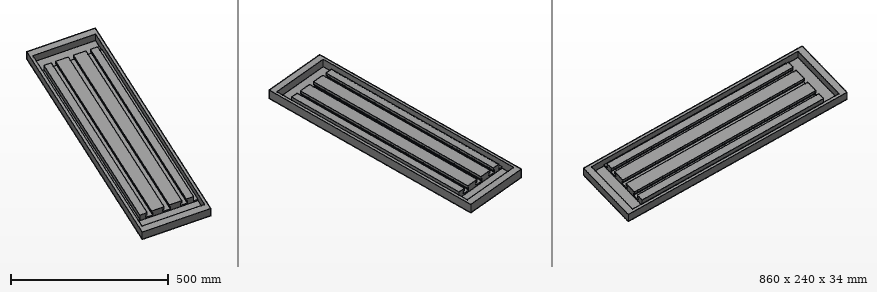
import cadquery as cq

length = 860.0
width = 240.0
height = 34.0
end_wall = 24.0
side_wall = 10.0

floor_thickness = 4.0
pad_top = 10.0

end_clearance = 49.0
bar_top = 30.0
gap = 15.5
center_gap = 18.0
narrow_bar = 26.0
wide_bar = 44.0

lip_height = 10.0
lip_overhang = 4.0

inner_length = length - 2 * end_wall
inner_width = width - 2 * side_wall
bar_length = inner_length - 2 * end_clearance


def block(size_x, size_y, z_bottom, z_top, y_center=0):
    """Rectangular block centred on X between two heights."""
    return (
        cq.Workplane("XY", origin=(0, y_center, z_bottom))
        .rect(size_x, size_y)
        .extrude(z_top - z_bottom)
    )


result = block(length, width, 0, height)
result = result.cut(block(inner_length, inner_width, floor_thickness, height))

result = result.union(block(bar_length, inner_width, 0, pad_top))

wide_center = (center_gap + wide_bar) / 2
narrow_center = wide_center + wide_bar / 2 + gap + narrow_bar / 2
lip_bottom = bar_top - lip_height
wide_stem = wide_bar - 2 * lip_overhang
narrow_stem = narrow_bar - lip_overhang
narrow_stem_center = narrow_center + lip_overhang / 2
for side in (-1, 1):
    result = result.union(block(bar_length, wide_stem, 0, lip_bottom, side * wide_center))
    result = result.union(block(bar_length, wide_bar, lip_bottom, bar_top, side * wide_center))
    result = result.union(block(bar_length, narrow_stem, 0, bar_top, side * narrow_stem_center))
    result = result.union(block(bar_length, narrow_bar, lip_bottom, bar_top, side * narrow_center))